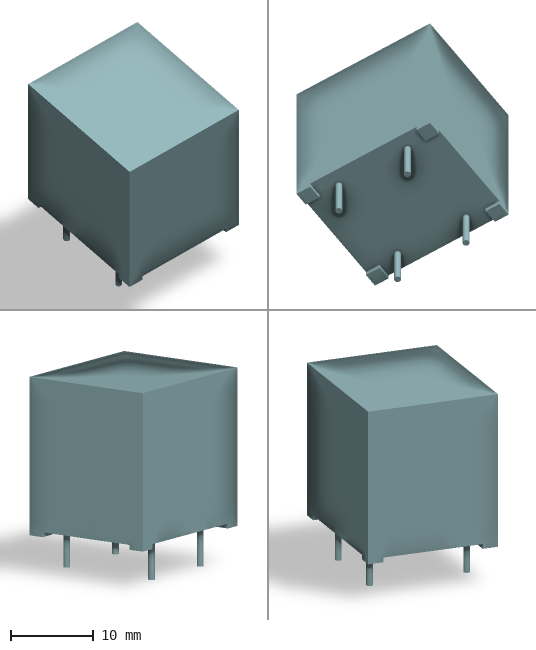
import cadquery as cq

body_length = 19.5
body_width = 17.0
total_height = 24.0
body_height = 19.55

foot_length = 2.0
foot_width = 2.0
foot_height = 0.6

pin_diameter = 0.85
pin_spacing_x = 10.0
pin_spacing_y = 12.7

pin_tip_z = -total_height / 2
body_top_z = total_height / 2
body_bottom_z = body_top_z - body_height
recess_roof_z = body_bottom_z + foot_height


def make_body():
    """Block with a cross-shaped recess below, leaving a foot at each corner."""
    block = (
        cq.Workplane("XY", origin=(0, 0, recess_roof_z))
        .rect(body_length, body_width)
        .extrude(body_height - foot_height)
    )
    feet = (
        cq.Workplane("XY", origin=(0, 0, body_bottom_z))
        .rarray(body_length - foot_length, body_width - foot_width, 2, 2)
        .rect(foot_length, foot_width)
        .extrude(foot_height)
    )
    return block.union(feet)


def make_pins():
    """Four pins running from the recess roof down to the tips."""
    return (
        cq.Workplane("XY", origin=(0, 0, pin_tip_z))
        .rarray(pin_spacing_x, pin_spacing_y, 2, 2)
        .circle(pin_diameter / 2)
        .extrude(recess_roof_z - pin_tip_z)
    )


result = make_body().union(make_pins())